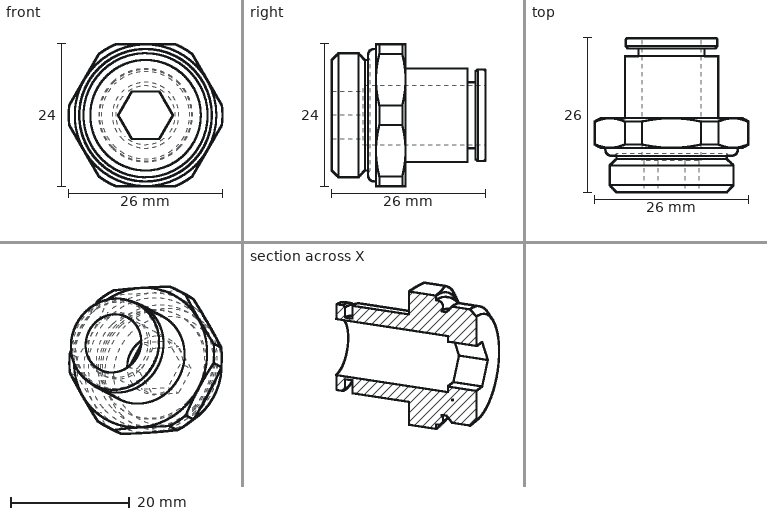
import cadquery as cq
import math

thread_chamfer_end = 1.2
thread_end = 4.55
undercut_start = 5.62
hex_start = 7.5
hex_end = 12.5
body_end = 22.98
collar_start = 24.25
length = 26.0

thread_radius = 10.48
undercut_radius = 9.33
body_radius = 7.9
collar_neck_radius = 5.6
collar_radius = 7.75

seal_section_radius = 1.07
seal_center_radius = 10.15
seal_center = 7.2

collar_fillet = 0.35
collar_chamfer_length = 0.45
collar_chamfer_depth = 0.35

hex_across_flats = 24.0
hex_corner_radius = 13.0
hex_chamfer_radius = 11.95
hex_chamfer_length = 0.57

socket_across_flats = 7.98
socket_depth = 5.33
bore_radius = 5.0


def hexagon_prism(across_flats, start, end):
    """Hexagonal prism along +Y with two corners on the X axis."""
    across_corners = across_flats / math.cos(math.radians(30))
    plane = cq.Workplane("XZ", origin=(0, start, 0))
    return plane.polygon(6, across_corners).extrude(start - end)


def revolve_about_y(profile):
    return profile.close().revolve(360, (0, 0, 0), (0, 1, 0))


def turned_body():
    """Thread, undercut, body and release collar as one revolved profile."""
    profile = (
        cq.Workplane("XY")
        .lineTo(undercut_radius, 0)
        .lineTo(thread_radius, thread_chamfer_end)
        .lineTo(thread_radius, thread_end)
        .lineTo(undercut_radius, undercut_start)
        .lineTo(undercut_radius, hex_start)
        .lineTo(body_radius, hex_start)
        .lineTo(body_radius, body_end)
        .lineTo(collar_neck_radius, body_end)
        .lineTo(collar_neck_radius, collar_start)
        .lineTo(collar_radius - collar_chamfer_depth, collar_start)
        .lineTo(collar_radius, collar_start + collar_chamfer_length)
        .lineTo(collar_radius, length - collar_fillet)
        .radiusArc((collar_radius - collar_fillet, length), -collar_fillet)
        .lineTo(0, length)
    )
    return revolve_about_y(profile)


def wrench_hexagon():
    """Hexagon trimmed by a chamfered disc that rounds and bevels its corners."""
    disc_profile = (
        cq.Workplane("XY")
        .moveTo(0, hex_start)
        .lineTo(hex_chamfer_radius, hex_start)
        .lineTo(hex_corner_radius, hex_start + hex_chamfer_length)
        .lineTo(hex_corner_radius, hex_end - hex_chamfer_length)
        .lineTo(hex_chamfer_radius, hex_end)
        .lineTo(0, hex_end)
    )
    hexagon = hexagon_prism(hex_across_flats, hex_start, hex_end)
    return hexagon.intersect(revolve_about_y(disc_profile))


def seal_ring():
    section = cq.Workplane("XY").center(seal_center_radius, seal_center).circle(seal_section_radius)
    axis_start = (-seal_center_radius, 0, 0)
    axis_end = (-seal_center_radius, 1, 0)
    return section.revolve(360, axis_start, axis_end)


def passage():
    """Hexagonal socket at the threaded end joined to the tube bore."""
    socket = hexagon_prism(socket_across_flats, 0, socket_depth)
    bore_plane = cq.Workplane("XZ", origin=(0, socket_depth, 0))
    bore = bore_plane.circle(bore_radius).extrude(socket_depth - length)
    return socket.union(bore)


result = turned_body().union(wrench_hexagon()).union(seal_ring()).cut(passage())